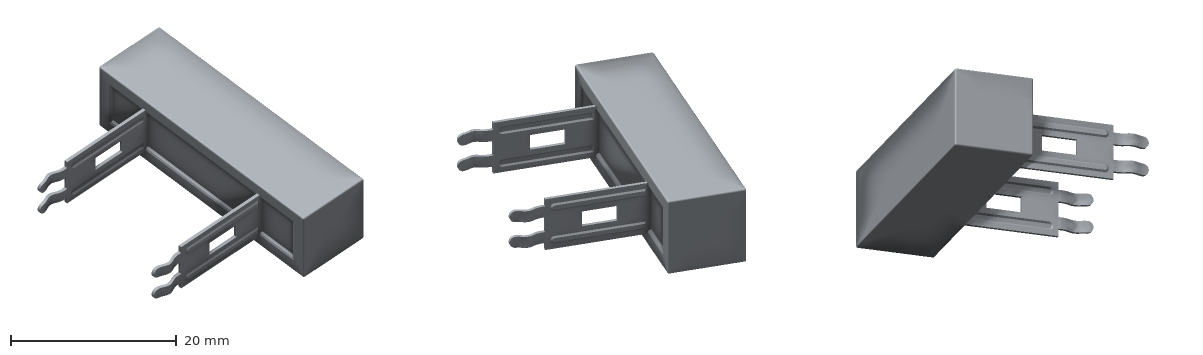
import cadquery as cq
import math


housing_length = 36.0
housing_side = 10.0
housing_edge_radius = 0.2
recess_length = 32.35
recess_height = 6.55
recess_depth = 0.45
recess_chamfer_width = 0.25
recess_chamfer_depth = 0.15
recess_floor_inset = 0.07

blade_spacing = 20.0
sheet_thickness = 0.45
blade_height = 7.0
blade_reach = 13.0
window_length = 4.5
window_height = 2.0
window_start = 3.8

bead_start = 0.2
bead_end = 12.35
bead_width = 1.0
bead_height = 0.18
bead_flank = 0.2
bead_spacing = 4.5

prong_reach = 4.5
prong_width = 1.5
prong_spacing = 3.53
bow_height = 0.45
bow_start = 0.7
bow_length = 3.2
bow_steps = 6


def make_housing():
    housing = (
        cq.Workplane("XY")
        .box(housing_length, housing_side, housing_side)
        .translate((0, housing_side / 2, 0))
        .edges()
        .fillet(housing_edge_radius)
    )
    return housing.cut(make_recess())


def make_recess():
    """Recess volume: chamfered mouth, then long walls leaning in slightly towards the floor."""
    throat_length = recess_length - 2 * recess_chamfer_width
    throat_height = recess_height - 2 * recess_chamfer_width
    mouth = (
        cq.Workplane("XZ")
        .rect(recess_length, recess_height)
        .workplane(offset=-recess_chamfer_depth)
        .rect(throat_length, throat_height)
        .loft(ruled=True)
    )
    throat = (
        cq.Workplane("XZ", origin=(0, recess_chamfer_depth, 0))
        .rect(throat_length, throat_height)
        .workplane(offset=recess_chamfer_depth - recess_depth)
        .rect(throat_length, throat_height - 2 * recess_floor_inset)
        .loft(ruled=True)
    )
    return mouth.union(throat)


def make_bead(base_x, z):
    """Bead with sloped flanks, square near the housing and round at the far end, rising along +X."""
    half_width = bead_width / 2
    flank_angle = math.degrees(math.atan2(bead_flank, bead_height))
    return (
        cq.Workplane("YZ", origin=(base_x, 0, z))
        .moveTo(-bead_start, half_width)
        .lineTo(-bead_end + half_width, half_width)
        .threePointArc((-bead_end, 0), (-bead_end + half_width, -half_width))
        .lineTo(-bead_start, -half_width)
        .close()
        .extrude(bead_height, taper=flank_angle)
    )


def make_prong(z):
    """Sheet strip with a cosine bow towards +X, trimmed to a full-round tip."""
    root_y = -blade_reach
    tip_y = root_y - prong_reach
    bow_line = [(0, root_y)]
    for step in range(bow_steps + 1):
        fraction = step / bow_steps
        rise = bow_height * (1 - math.cos(2 * math.pi * fraction)) / 2
        bow_line.append((rise, root_y - bow_start - bow_length * fraction))
    bow_line.append((0, tip_y))
    half_sheet = sheet_thickness / 2
    outer_side = [(x + half_sheet, y) for x, y in bow_line]
    inner_side = [(x - half_sheet, y) for x, y in reversed(bow_line)]
    strip = (
        cq.Workplane("XY", origin=(0, 0, z - prong_width / 2))
        .moveTo(*outer_side[0])
        .spline(outer_side[1:], includeCurrent=True)
        .lineTo(*inner_side[0])
        .spline(inner_side[1:], includeCurrent=True)
        .close()
        .extrude(prong_width)
    )
    tip_radius = prong_width / 2
    trim_reach = bow_height + sheet_thickness
    outline = (
        cq.Workplane("YZ", origin=(0, 0, z))
        .moveTo(root_y, tip_radius)
        .lineTo(tip_y + tip_radius, tip_radius)
        .threePointArc((tip_y, 0), (tip_y + tip_radius, -tip_radius))
        .lineTo(root_y, -tip_radius)
        .close()
        .extrude(trim_reach, both=True)
    )
    return strip.intersect(outline)


def make_terminal():
    """Blade centred on X = 0 with its outer face towards +X, rooted on the recess floor."""
    length = blade_reach + recess_depth
    terminal = (
        cq.Workplane("XY")
        .box(sheet_thickness, length, blade_height)
        .translate((0, recess_depth - length / 2, 0))
    )
    window = (
        cq.Workplane("XY")
        .box(2 * sheet_thickness, window_length, window_height)
        .translate((0, -window_start - window_length / 2, 0))
    )
    terminal = terminal.cut(window)
    for side in (-1, 1):
        bead_z = side * bead_spacing / 2
        terminal = terminal.union(make_bead(sheet_thickness / 2, bead_z))
        terminal = terminal.cut(make_bead(-sheet_thickness / 2, bead_z))
        terminal = terminal.union(make_prong(side * prong_spacing / 2))
    return terminal


right_terminal = make_terminal().translate((blade_spacing / 2, 0, 0))
left_terminal = right_terminal.mirror("YZ")
result = make_housing().union(right_terminal).union(left_terminal)